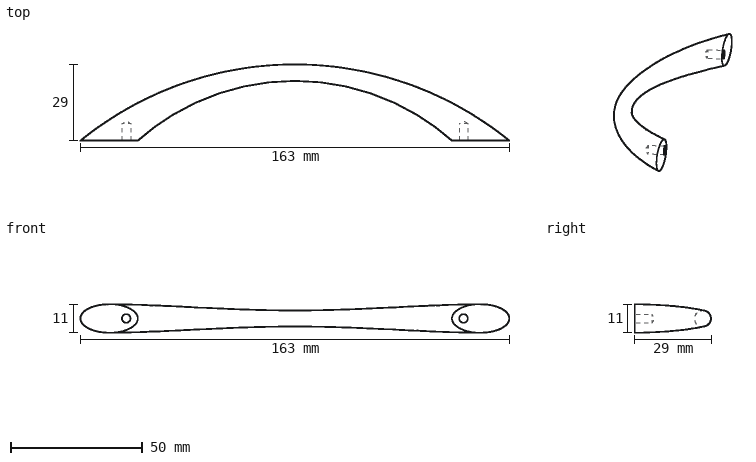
import cadquery as cq
import math

length = 163.0
rise = 29.0
foot_length = 21.8
foot_width = 11.0
crown_thickness = 6.4
crown_width = 6.2
section_count = 5

hole_spacing = 128.1
hole_diameter = 3.3
hole_depth = 6.5
drill_point_depth = 1.0

outer_half_span = length / 2
inner_half_span = outer_half_span - foot_length
inner_rise = rise - crown_thickness


def arch_point(half_span, height, fraction):
    """Point on an arch lying over the feet; fraction runs from crown (0) to foot (1)."""
    radius = (half_span**2 + height**2) / (2 * height)
    angle = fraction * math.asin(half_span / radius)
    return cq.Vector(radius * math.sin(angle), height - radius * (1 - math.cos(angle)), 0)


def section(fraction):
    """Elliptical section spanning the outer and inner arches."""
    outer = arch_point(outer_half_span, rise, fraction)
    inner = arch_point(inner_half_span, inner_rise, fraction)
    across = inner - outer
    swell = fraction**2 * (3 - 2 * fraction)
    width = crown_width + (foot_width - crown_width) * swell
    normal = across.cross(cq.Vector(0, 0, 1))
    return cq.Wire.makeEllipse(
        across.Length / 2, width / 2, (outer + inner) * 0.5, normal, across, closed=True
    )


sections = [section(i / section_count) for i in range(section_count + 1)]
half_grip = cq.Workplane("XY").add(cq.Solid.makeLoft(sections))
grip = half_grip.union(half_grip.mirror("YZ"), clean=False)


def screw_hole(x):
    """Blind drilled hole entering a foot along +Y."""
    hole_radius = hole_diameter / 2
    into_foot = cq.Vector(0, 1, 0)
    bore = cq.Solid.makeCylinder(hole_radius, hole_depth, cq.Vector(x, 0, 0), into_foot)
    point = cq.Solid.makeCone(hole_radius, 0, drill_point_depth, cq.Vector(x, hole_depth, 0), into_foot)
    return cq.Workplane("XY").add(bore.fuse(point))


result = grip
for side in (-1, 1):
    result = result.cut(screw_hole(side * hole_spacing / 2), clean=False)